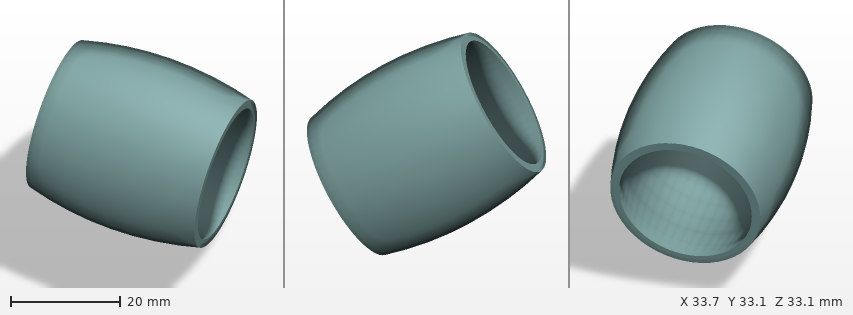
import cadquery as cq

length = 33.65
middle_diameter = 33.1
end_diameter = 28.67
end_bore_diameter = 25.4

half_length = length / 2
middle_radius = middle_diameter / 2
end_radius = end_diameter / 2
end_bore_radius = end_bore_diameter / 2
bulge = middle_radius - end_radius
middle_bore_radius = end_bore_radius + bulge

wall_section = (
    cq.Workplane("XY")
    .moveTo(-half_length, end_bore_radius)
    .lineTo(-half_length, end_radius)
    .threePointArc((0, middle_radius), (half_length, end_radius))
    .lineTo(half_length, end_bore_radius)
    .threePointArc((0, middle_bore_radius), (-half_length, end_bore_radius))
    .close()
)

result = wall_section.revolve(360, (0, 0, 0), (1, 0, 0))